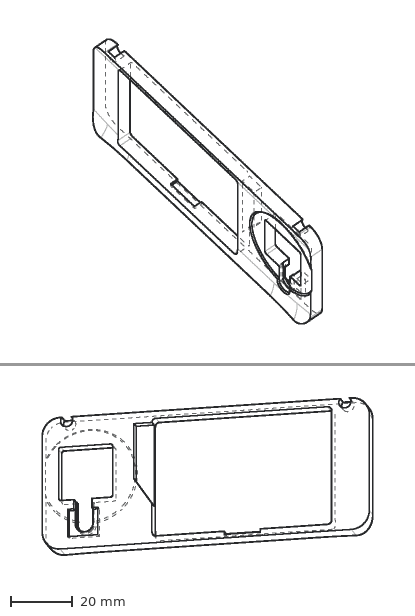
import math

import cadquery as cq


LENGTH = 109.0
HEIGHT = 44.6
THICKNESS = 5.0
CORNER_RADIUS = 6.0

FLARE_RADIUS = 11.23
TOP_FLARE_WIDTH = 3.0
BOTTOM_FLARE_WIDTH = 5.7
FLARE_REACH = 8.5
FLARE_ROOT = 1.0
FLARE_BEND_START = 18.5
FLARE_BEND_END = 7.0
FLARE_BEND_ANGLE = 8.0

WINDOW_LEFT = 12.6
WINDOW_RIGHT = 72.4
WINDOW_BOTTOM = 2.3
WINDOW_TOP = 42.1
WINDOW_RADIUS = 1.3

SQUARE_X = 94.5
SQUARE_Z = 25.45
SQUARE_SIDE = 18.0
SQUARE_RADIUS = 0.8
SLOT_X = 95.4
SLOT_WIDTH = 5.2
SLOT_BOTTOM = 6.2
SLOT_MOUTH_RADIUS = 0.5
SLOT_LIP = 2.1
SLOT_REAR_CLEARANCE = 0.4

DIAL_RADIUS = 16.0
DIAL_DEPTH = 0.5
SLOT_RIM = 0.5

SLOT_RELIEF_WIDTH = 10.0
SLOT_RELIEF_BOTTOM = 4.0
SLOT_RELIEF_TOP = 13.3
SLOT_RELIEF_DEPTH = 1.8

NOTCH_X = 8.15
NOTCH_RADIUS = 2.0
NOTCH_MOUTH = 3.1
NOTCH_DEPTH = 4.2

SILL_X = 36.4
SILL_LENGTH = 12.0
SILL_DEPTH = 3.0
SILL_DROP = 1.1

JAMB_WIDTH = 6.0
JAMB_BOTTOM = 13.3
JAMB_RAMP_RISE = 8.8
JAMB_WALL = 1.9


def box(x_range, y_range, z_range):
    """Box spanning the given (low, high) ranges."""
    sizes = [high - low for low, high in (x_range, y_range, z_range)]
    return cq.Workplane("XY", origin=(x_range[0], y_range[0], z_range[0])).box(*sizes, centered=False)


def facing(x, y, z):
    """Workplane in XZ at depth y; positive extrusion runs towards the front."""
    return cq.Workplane("XZ", origin=(x, y, z))


def rounded_block(y_front, y_back):
    """Plate outline with rounded corners between two depths."""
    block = box((0, LENGTH), (y_front, y_back), (0, HEIGHT))
    return block.edges("|Y").fillet(CORNER_RADIUS)


def flare_profile(root_z, direction):
    """Half-length flare section on the mid plane, tangent to the front face at root_z."""
    def flare_point(width):
        rise = FLARE_RADIUS - math.sqrt(FLARE_RADIUS**2 - width**2)
        return (-rise, root_z + direction * width)

    edge = flare_point(FLARE_REACH)
    return (
        cq.Workplane("YZ", origin=(LENGTH / 2, 0, 0))
        .moveTo(FLARE_ROOT, root_z)
        .lineTo(0, root_z)
        .threePointArc(flare_point(FLARE_REACH / 2), edge)
        .lineTo(FLARE_ROOT, edge[1])
        .close()
    )


def bottom_flare_half():
    """Right half of the bottom flare: straight, then bending upward, then straight."""
    angle = math.radians(FLARE_BEND_ANGLE)
    bend_start = LENGTH - FLARE_BEND_START
    bend_end = LENGTH - FLARE_BEND_END
    bend_radius = (bend_end - bend_start) / math.sin(angle)
    bend_mid = (
        bend_start + bend_radius * math.sin(angle / 2),
        BOTTOM_FLARE_WIDTH + bend_radius * (1 - math.cos(angle / 2)),
    )
    bend_tip = (bend_end, BOTTOM_FLARE_WIDTH + bend_radius * (1 - math.cos(angle)))
    run_out = 2 * FLARE_BEND_END
    path = (
        cq.Workplane("XZ")
        .moveTo(LENGTH / 2, BOTTOM_FLARE_WIDTH)
        .lineTo(bend_start, BOTTOM_FLARE_WIDTH)
        .threePointArc(bend_mid, bend_tip)
        .line(run_out, run_out * math.tan(angle))
    )
    return flare_profile(BOTTOM_FLARE_WIDTH, -1).sweep(path)


def flares():
    """Both flares, trimmed to the plate outline."""
    bottom = bottom_flare_half()
    top = flare_profile(HEIGHT - TOP_FLARE_WIDTH, 1).extrude(LENGTH / 2)
    mirror_point = (LENGTH / 2, 0, 0)
    outline = rounded_block(-FLARE_RADIUS, FLARE_ROOT)
    bottom = bottom.union(bottom.mirror("YZ", mirror_point)).intersect(outline)
    top = top.union(top.mirror("YZ", mirror_point)).intersect(outline)
    return bottom, top


def window():
    through = box(
        (WINDOW_LEFT, WINDOW_RIGHT), (-FLARE_RADIUS, THICKNESS), (WINDOW_BOTTOM, WINDOW_TOP)
    )
    return through.edges("|Y").fillet(WINDOW_RADIUS)


def slot_cutter(radius, y_front, y_back):
    """Round-ended slot of the given half width, running up into the square opening."""
    end_z = SLOT_BOTTOM + SLOT_WIDTH / 2
    shaft = box((SLOT_X - radius, SLOT_X + radius), (y_front, y_back), (end_z, SQUARE_Z))
    round_end = facing(SLOT_X, y_back, end_z).circle(radius).extrude(y_back - y_front)
    return shaft.union(round_end)


def keyhole():
    """Square opening joined to the slot, which widens behind its front lip."""
    half = SQUARE_SIDE / 2
    through = (-FLARE_RADIUS, THICKNESS)
    square = box(
        (SQUARE_X - half, SQUARE_X + half), through, (SQUARE_Z - half, SQUARE_Z + half)
    ).edges("|Y").fillet(SQUARE_RADIUS)
    slot_radius = SLOT_WIDTH / 2
    slot = slot_cutter(slot_radius, *through)
    rear_slot = slot_cutter(slot_radius + SLOT_REAR_CLEARANCE, SLOT_LIP, THICKNESS)
    mouth = cq.selectors.BoxSelector(
        (SLOT_X - SLOT_WIDTH, -2 * FLARE_RADIUS, SQUARE_Z - half - SLOT_MOUTH_RADIUS),
        (SLOT_X + SLOT_WIDTH, 2 * FLARE_RADIUS, SQUARE_Z - half + SLOT_MOUTH_RADIUS),
    )
    opening = square.union(slot).edges("|Y").edges(mouth).fillet(SLOT_MOUTH_RADIUS)
    return opening.union(rear_slot)


def sloped_disc(x, z, radius):
    """Shallow disc in the front face, narrowing at 45 degrees to its floor."""
    floor_radius = radius - DIAL_DEPTH
    front_radius = radius + FLARE_ROOT
    cone = cq.Solid.makeCone(
        front_radius, floor_radius, FLARE_ROOT + DIAL_DEPTH,
        cq.Vector(x, -FLARE_ROOT, z), cq.Vector(0, 1, 0),
    )
    return cq.Workplane(cone)


def dial_recess():
    slot_radius = SLOT_WIDTH / 2 + SLOT_RIM
    slot_end = sloped_disc(SLOT_X, SLOT_BOTTOM + SLOT_WIDTH / 2, slot_radius)
    return sloped_disc(SQUARE_X, SQUARE_Z, DIAL_RADIUS).union(slot_end)


def slot_relief():
    half = SLOT_RELIEF_WIDTH / 2
    return box(
        (SLOT_X - half, SLOT_X + half),
        (THICKNESS - SLOT_RELIEF_DEPTH, THICKNESS),
        (SLOT_RELIEF_BOTTOM, SLOT_RELIEF_TOP),
    )


def cable_notch(x):
    """Bore along Y whose axis lies just below the top edge, giving an undercut mouth."""
    axis_drop = math.sqrt(NOTCH_RADIUS**2 - (NOTCH_MOUTH / 2) ** 2)
    return facing(x, THICKNESS, HEIGHT - axis_drop).circle(NOTCH_RADIUS).extrude(NOTCH_DEPTH)


def sill_relief():
    return box(
        (SILL_X, SILL_X + SILL_LENGTH),
        (THICKNESS - SILL_DEPTH, THICKNESS),
        (WINDOW_BOTTOM - SILL_DROP, WINDOW_BOTTOM + SILL_DROP),
    )


def jamb_relief():
    """Pocket behind the right jamb, up to the window corner round, with a rising ramp as its floor."""
    return (
        facing(WINDOW_RIGHT, THICKNESS, 0)
        .moveTo(0, JAMB_BOTTOM)
        .lineTo(JAMB_WIDTH, JAMB_BOTTOM + JAMB_RAMP_RISE)
        .lineTo(JAMB_WIDTH, WINDOW_TOP - WINDOW_RADIUS)
        .lineTo(-WINDOW_RADIUS, WINDOW_TOP - WINDOW_RADIUS)
        .lineTo(-WINDOW_RADIUS, JAMB_BOTTOM)
        .close()
        .extrude(THICKNESS - JAMB_WALL)
    )


result = rounded_block(0, THICKNESS)
for flare in flares():
    result = result.union(flare)
for opening in (window(), keyhole(), dial_recess(), slot_relief(), sill_relief(), jamb_relief()):
    result = result.cut(opening)
for notch_x in (NOTCH_X, LENGTH - NOTCH_X):
    result = result.cut(cable_notch(notch_x))